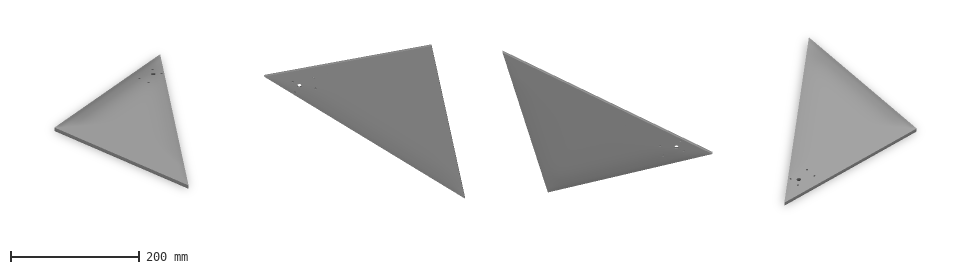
import cadquery as cq

side = 266.7
thickness = 6.5

shaft_x = 26.7
shaft_y = 215.8
shaft_diameter = 7.0

screw_spacing_x = 18.1
screw_spacing_y = 33.0
screw_upper_offset = 9.0
screw_diameter = 3.2


def make_plate():
    corners = [(0, 0), (side, 0), (0, side)]
    return cq.Workplane("XY").polyline(corners).close().extrude(thickness)


def make_through_holes(centers, diameter):
    return cq.Workplane("XY").pushPoints(centers).circle(diameter / 2).extrude(thickness)


def screw_centers():
    upper_y = shaft_y + screw_upper_offset
    return [
        (shaft_x + sign * screw_spacing_x / 2, y)
        for sign in (-1, 1)
        for y in (upper_y, upper_y - screw_spacing_y)
    ]


shaft_hole = make_through_holes([(shaft_x, shaft_y)], shaft_diameter)
screw_holes = make_through_holes(screw_centers(), screw_diameter)

result = make_plate().cut(shaft_hole).cut(screw_holes)